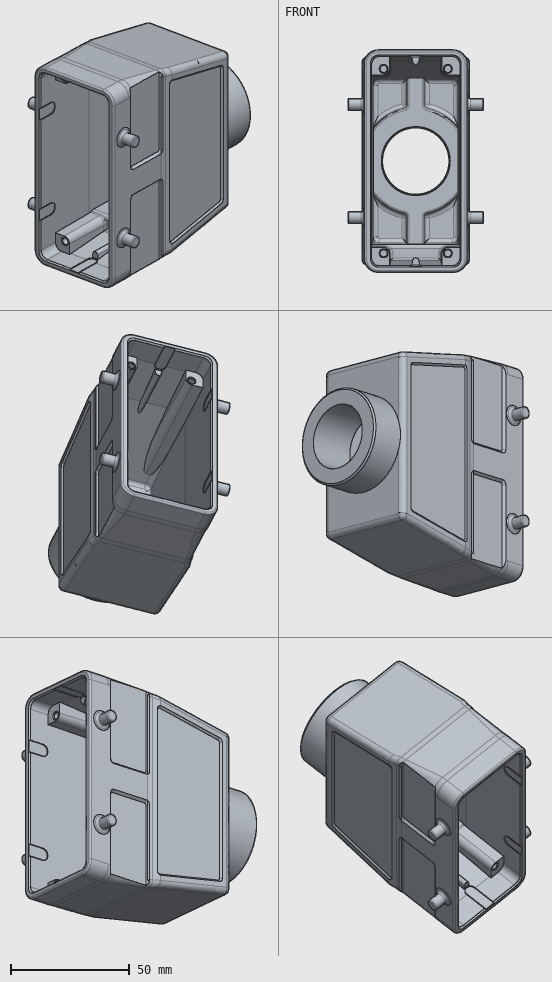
import cadquery as cq

mouth_half_width = 21.6
mouth_half_height = 46.85
upper_half_width = 22.7
taper_start = 11.2
waist_start = 32.5
waist_end = 37.5
back = 76.2
waist_start_half_height = 44.8
back_half_height = 36.6
bend_blend = 1.3
mouth_corner_radius = 5.9
waist_corner_radius = 2.8
upper_corner_radius = 2.6
back_edge_radius = 2.5
mouth_edge_radius = 0.8

overall_length = 92.0
spigot_radius = 21.1
spigot_end_chamfer = 0.75
cable_hole_radius = 14.0
cable_hole_chamfer = 0.6

floor = 73.1
lip_depth = 0.75
lip_half_width = 19.0
lip_half_height = 44.6
cavity_half_width = 18.55
cavity_mouth_half_height = 44.0
cavity_floor_half_width = 17.8
cavity_waist_half_height = 41.8
cavity_floor_half_height = 34.1
cavity_corner_radius = 3.4
cavity_floor_corner_radius = 2.3
floor_fillet = 1.9

island_height = 4.2
island_radius = 22.4
island_neck_half_width = 3.4
island_edge_radius = 0.75
island_draft = 10.0
island_corner_radius = 1.9

pillar_front = 10.3
pillar_inner_x = 11.0
pillar_inner_z = 36.3
pillar_corner_radius = 2.8
pillar_draft = 1.0
screw_x = 13.5
screw_z = 38.8
screw_hole_radius = 1.5
screw_hole_chamfer = 0.4
screw_hole_depth = 14.1

block_front = 33.7
block_top = -35.0
block_edge_radius = 1.7
block_root_fillet = 0.9

rib_front = 14.1
rib_tip_z = 40.7
rib_tip_radius = 1.3
rib_base_half_width = 2.2
groove_depth = 0.4
rib_groove_radius = 2.4
pin_groove_radius = 2.7
pin_groove_end = 10.1

pin_y = 6.4
pin_z = 23.8
pin_radius = 2.5
pin_end_x = 28.5
pin_end_fillet = 0.5
pin_collar_radius = 4.4
pin_foot_height = 0.3
pin_root_fillet = 1.1

lever_recess_depth = 1.2
lever_recess_start = 11.2
lever_recess_end = 32.5
lever_recess_bevel = 40.0
lever_recess_inner_z = 5.9
lever_recess_corner_radius = 1.9
panel_depth = 0.8
panel_bevel = 45.0
panel_start = 35.8
panel_end = 71.3
panel_edge_offset = 5.0
panel_corner_radius = 1.9


def box_between(x_min, x_max, y_min, y_max, z_min, z_max):
    """Box between the given limits along each axis."""
    box = cq.Workplane().box(x_max - x_min, y_max - y_min, z_max - z_min, centered=False)
    return box.translate((x_min, y_min, z_min))


def rounded_rectangle(y, half_width, half_height, radius):
    """Wire of a rounded rectangle that is normal to Y."""
    plate = cq.Workplane("XZ", origin=(0, y, 0)).rect(2 * half_width, 2 * half_height).extrude(-0.9)
    return plate.edges("|Y").fillet(radius).faces("<Y").wires().val()


def ruled_loft(sections):
    """Ruled solid through rounded rectangles given as (y, half width, half height, radius)."""
    wires = [rounded_rectangle(*section) for section in sections]
    return cq.Workplane(cq.Solid.makeLoft(wires, True))


def skirt_half_height(y):
    """Half height of the tapered skirt between the mouth and the waist."""
    slope = (waist_start_half_height - mouth_half_height) / (waist_start - taper_start)
    return mouth_half_height + slope * (y - taper_start)


def upper_half_height(y):
    """Half height of the tapered upper body between the waist and the back."""
    slope = (back_half_height - waist_start_half_height) / (back - waist_start)
    return waist_start_half_height + slope * (y - waist_start)


def waist_half_width(y):
    """Half width where the side walls widen from the skirt to the upper body."""
    slope = (upper_half_width - mouth_half_width) / (waist_end - waist_start)
    return mouth_half_width + slope * (y - waist_start)


def make_shell():
    """Solid outer form: straight mouth, tapered skirt, waist and tapered upper body."""
    mouth_bend = (taper_start - bend_blend, taper_start + bend_blend)
    waist_bend = (waist_start - bend_blend, waist_start + bend_blend)
    shell = ruled_loft([
        (0, mouth_half_width, mouth_half_height, mouth_corner_radius),
        (mouth_bend[0], mouth_half_width, mouth_half_height, mouth_corner_radius),
        (mouth_bend[1], mouth_half_width, skirt_half_height(mouth_bend[1]), mouth_corner_radius),
        (waist_bend[0], mouth_half_width, skirt_half_height(waist_bend[0]), waist_corner_radius),
        (waist_bend[1], waist_half_width(waist_bend[1]), upper_half_height(waist_bend[1]), waist_corner_radius),
        (waist_end, upper_half_width, upper_half_height(waist_end), upper_corner_radius),
        (back, upper_half_width, back_half_height, upper_corner_radius),
    ])
    shell = shell.faces(">Y").edges().fillet(back_edge_radius)
    return shell.faces("<Y").edges().fillet(mouth_edge_radius)


def make_spigot():
    """Solid round spigot behind the body."""
    spigot = cq.Workplane("XZ", origin=(0, floor, 0)).circle(spigot_radius).extrude(floor - overall_length)
    return spigot.faces(">Y").chamfer(spigot_end_chamfer)


def make_island():
    """Raised floor around the cable hole, with a neck to each end wall."""
    outline = (
        cq.Sketch()
        .circle(island_radius)
        .rect(2 * island_neck_half_width, 2 * cavity_waist_half_height)
        .reset()
        .clean()
        .vertices(cq.selectors.BoxSelector(
            (-island_radius / 2, -island_radius, -0.9),
            (island_radius / 2, island_radius, 0.9),
        ))
        .fillet(island_corner_radius)
    )
    island = cq.Workplane("XZ", origin=(0, floor - island_height, 0)).placeSketch(outline)
    island = island.extrude(-2 * island_height, taper=-island_draft)
    return island.faces("<Y").edges().fillet(island_edge_radius)


def make_pillars():
    """Four screw pillars that run from near the mouth to the cavity floor."""
    pillars = cq.Workplane()
    for x_side in (-1, 1):
        for z_side in (-1, 1):
            outline = (
                cq.Sketch()
                .push([((pillar_inner_x + mouth_half_width) / 2, (pillar_inner_z + mouth_half_height) / 2)])
                .rect(mouth_half_width - pillar_inner_x, mouth_half_height - pillar_inner_z)
                .reset()
                .vertices("<X and <Y")
                .fillet(pillar_corner_radius)
            )
            pillar = cq.Workplane("XZ", origin=(0, pillar_front, 0)).placeSketch(outline)
            pillar = pillar.extrude(pillar_front - back, taper=-pillar_draft)
            if x_side < 0:
                pillar = pillar.mirror("YZ")
            if z_side < 0:
                pillar = pillar.mirror("XY")
            pillars = pillars.add(pillar)
    return pillars.combine()


def make_screw_holes():
    """Blind screw holes with a small countersink in the pillar ends."""
    hole = (
        cq.Workplane("XZ", origin=(0, pillar_front, 0))
        .rect(2 * screw_x, 2 * screw_z, forConstruction=True)
        .vertices()
    )
    bores = hole.circle(screw_hole_radius).extrude(-screw_hole_depth)
    sink = hole.circle(screw_hole_radius + screw_hole_chamfer).extrude(-screw_hole_chamfer, taper=45)
    return bores.union(sink)


def make_block():
    """Thick lower end wall with a step that faces the mouth."""
    block = box_between(
        -mouth_half_width, mouth_half_width, block_front, back, -mouth_half_height, block_top
    )
    return block.edges("<Y and >Z").fillet(block_edge_radius)


def make_ribs():
    """Round-tipped guide rib in the middle of each end wall."""
    tip_centre = rib_tip_z + rib_tip_radius
    rib = (
        cq.Workplane("XZ", origin=(0, rib_front, 0))
        .moveTo(-rib_base_half_width, mouth_half_height)
        .lineTo(-rib_tip_radius, tip_centre)
        .threePointArc((0, rib_tip_z), (rib_tip_radius, tip_centre))
        .lineTo(rib_base_half_width, mouth_half_height)
        .close()
        .extrude(rib_front - floor)
    )
    return rib.union(rib.mirror("XY"))


def make_cavity():
    """Space inside the hood, without the pillars, ribs, block and island that stand in it."""
    waist_section = (waist_start, cavity_half_width, cavity_waist_half_height, cavity_corner_radius)
    mouth_space = ruled_loft([
        (0, lip_half_width, lip_half_height, cavity_corner_radius),
        (lip_depth, cavity_half_width, cavity_mouth_half_height, cavity_corner_radius),
        (taper_start, cavity_half_width, cavity_mouth_half_height, cavity_corner_radius),
        waist_section,
    ])
    rear_space = ruled_loft([
        waist_section,
        (floor, cavity_floor_half_width, cavity_floor_half_height, cavity_floor_corner_radius),
    ])
    rear_space = rear_space.cut(make_island()).faces(">Y").edges().fillet(floor_fillet)
    cavity = mouth_space.union(rear_space)
    cavity = cavity.cut(make_pillars()).cut(make_block())
    step = cq.selectors.BoxSelector(
        (-pillar_inner_x - 0.9, block_front - 0.1, -mouth_half_height),
        (pillar_inner_x + 0.9, block_front + 0.1, block_top - 2.3),
    )
    cavity = cavity.edges(step).fillet(block_root_fillet)
    return cavity.cut(make_ribs())


def make_grooves():
    """Shallow round-ended clearance grooves inside the mouth, at the pins and the ribs."""
    pin_reach = cavity_half_width + groove_depth
    pin_groove = cq.Workplane("YZ").slot2D(2 * pin_groove_end, 2 * pin_groove_radius)
    pin_groove = pin_groove.extrude(pin_reach, both=True)
    rib_reach = cavity_mouth_half_height + groove_depth
    rib_groove = cq.Workplane("XY").slot2D(2 * rib_front, 2 * rib_groove_radius, 90)
    rib_groove = rib_groove.extrude(rib_reach, both=True)
    grooves = rib_groove
    for z in (-pin_z, pin_z):
        grooves = grooves.union(pin_groove.translate((0, 0, z)))
    return grooves.intersect(box_between(
        -pin_reach, pin_reach, 0, rib_front, -rib_reach, rib_reach
    ))


def make_pins():
    """Two locking pins on each side wall, each on a flared collar."""
    wall_x = mouth_half_width
    profile = (
        cq.Workplane("XY")
        .moveTo(cavity_half_width + 0.9, 0)
        .lineTo(cavity_half_width + 0.9, pin_collar_radius)
        .lineTo(wall_x, pin_collar_radius)
        .lineTo(wall_x + pin_foot_height, pin_radius + pin_root_fillet)
        .radiusArc((wall_x + pin_foot_height + pin_root_fillet, pin_radius), -pin_root_fillet)
        .lineTo(pin_end_x, pin_radius)
        .lineTo(pin_end_x, 0)
        .close()
    )
    pin = profile.revolve(360, (0, 0, 0), (1, 0, 0)).faces(">X").edges().fillet(pin_end_fillet)
    pair = pin.union(pin.mirror("YZ"))
    return pair.translate((0, pin_y, pin_z)).union(pair.translate((0, pin_y, -pin_z)))


def make_lever_recesses():
    """Four shallow recesses on the skirt, open towards the end walls."""
    outer_z = mouth_half_height + lever_recess_depth
    outline = (
        cq.Sketch()
        .push([((lever_recess_start + lever_recess_end) / 2, (lever_recess_inner_z + outer_z) / 2)])
        .rect(lever_recess_end - lever_recess_start, outer_z - lever_recess_inner_z)
        .reset()
        .vertices("<Y")
        .fillet(lever_recess_corner_radius)
    )
    recess = cq.Workplane("YZ", origin=(mouth_half_width, 0, 0)).placeSketch(outline)
    recess = recess.extrude(-lever_recess_depth, taper=lever_recess_bevel)
    pair = recess.union(recess.mirror("XY"))
    return pair.union(pair.mirror("YZ"))


def make_panels():
    """Shallow label panel on each side wall, with bevelled edges that follow the body taper."""
    start_z = upper_half_height(panel_start) - panel_edge_offset
    end_z = upper_half_height(panel_end) - panel_edge_offset
    corners = [(panel_start, -start_z), (panel_start, start_z), (panel_end, end_z), (panel_end, -end_z)]
    outline = cq.Sketch().polygon(corners + corners[:1]).reset().vertices().fillet(panel_corner_radius)
    panel = cq.Workplane("YZ", origin=(upper_half_width, 0, 0)).placeSketch(outline)
    panel = panel.extrude(-panel_depth, taper=panel_bevel)
    return panel.union(panel.mirror("YZ"))


def make_cable_hole():
    """Through hole for the cable, chamfered where it leaves the island."""
    island_top = floor - island_height
    plane = cq.Workplane("XZ", origin=(0, island_top, 0))
    hole = plane.circle(cable_hole_radius).extrude(island_top - overall_length)
    chamfer = plane.circle(cable_hole_radius + cable_hole_chamfer).extrude(-cable_hole_chamfer, taper=45)
    return hole.union(chamfer)


result = make_shell().union(make_spigot()).union(make_pins())
for cut_tool in (
    make_cavity(),
    make_grooves(),
    make_screw_holes(),
    make_cable_hole(),
    make_lever_recesses(),
    make_panels(),
):
    result = result.cut(cut_tool)